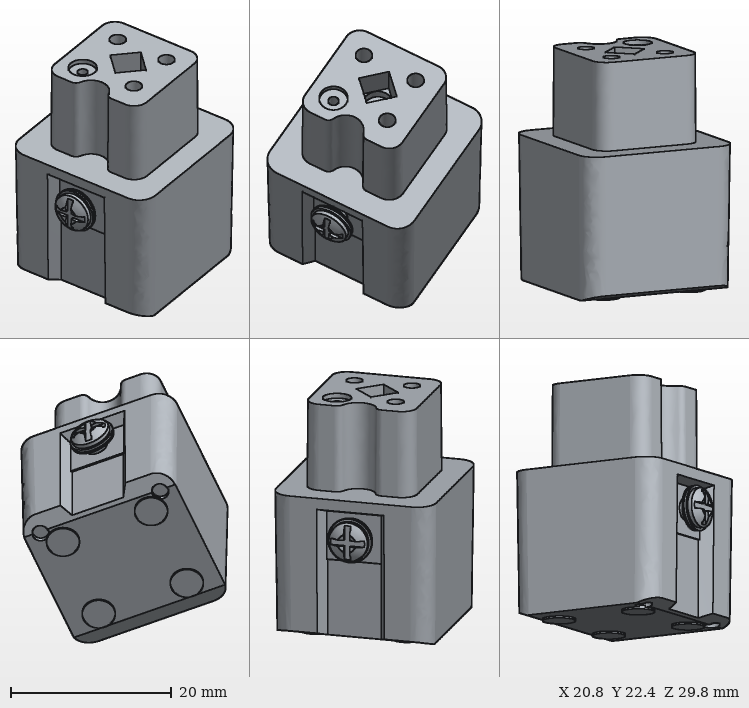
import cadquery as cq
import math

foot_height = 0.25
shoulder_z = 18.62
top_z = 29.8

base_top_width = 20.8
base_bottom_width = 20.38
base_corner_radius = 2.47
bevel_height = 0.77
bevel_flat_half = 8.05

tower_width = 14.2
tower_corner_radius = 2.0
tower_draft = 0.4
groove_radius = 2.2
groove_lip_radius = 1.0
groove_depth = 2.18

contact_x = 3.72
contact_back_y = 3.75
contact_front_y = -3.22
contact_radius = 1.05
core_radius = 0.65
contact_depth = 5.95
core_depth = 7.45
earth_y = -3.72
earth_radius = 1.8
earth_recess_depth = 0.63

diamond_x = 0.2
diamond_y = 0.48
diamond_side = 3.87
diamond_depth = 3.58
diamond_draft = 0.8
diamond_hole_radius = 1.85
diamond_hole_depth = 4.77

recess_floor_y = -8.65
recess_floor_half = 3.45
recess_mouth_half = 4.35
recess_mouth_bottom_half = 4.5
recess_floor_top = 16.55
recess_mouth_top = 17.2
plate_bottom_z = 10.3
plate_thickness = 0.18

screw_z = 13.6
washer_radius = 2.83
washer_face_y = -10.73
washer_thickness = 0.4
spring_washer_radius = 2.77
spring_washer_back_y = -10.07
shank_radius = 1.35
head_radius = 2.5
head_rim_y = -11.3
head_apex_y = -12.22
slot_width = 0.8
slot_floor_y = -11.53
bit_recess_half = 1.65
bit_recess_y = -12.05
bit_recess_floor_y = -11.9

foot_radius = 2.05
foot_x = 5.93
foot_back_y = 5.9
foot_front_y = -5.63
pocket_x = 8.05
pocket_y = -7.75
pocket_radius = 1.05
pocket_depth = 0.6


def rounded_square(width, z):
    outline = cq.Sketch().rect(width, width).vertices().fillet(base_corner_radius)
    return outline.moved(cq.Location((0, 0, z)))


def make_base():
    bottom = rounded_square(base_bottom_width, foot_height)
    top = rounded_square(base_top_width, shoulder_z)
    base = cq.Workplane("XY").placeSketch(bottom, top).loft(ruled=True)
    bevel_run = base_bottom_width / 2 - bevel_flat_half
    wedge_end = bevel_flat_half + 2 * bevel_run
    for side in (-1, 1):
        bevel = (
            cq.Workplane("YZ", origin=(-base_top_width / 2, 0, 0))
            .moveTo(side * bevel_flat_half, foot_height)
            .lineTo(side * wedge_end, foot_height)
            .lineTo(side * wedge_end, foot_height + 2 * bevel_height)
            .close()
            .extrude(base_top_width)
        )
        base = base.cut(bevel)
    return base


def make_tower():
    half = tower_width / 2
    flat = half - tower_corner_radius
    groove_center_y = -half + groove_depth - groove_radius
    lip_center_y = -half + groove_lip_radius
    radii = groove_radius + groove_lip_radius
    lip_x = math.sqrt(radii**2 - (lip_center_y - groove_center_y) ** 2)
    share = groove_radius / radii
    join_x = lip_x * share
    join_y = groove_center_y + (lip_center_y - groove_center_y) * share
    lip_end_angle = math.atan2(join_y - lip_center_y, lip_x - join_x)
    lip_mid_angle = (lip_end_angle - math.pi / 2) / 2
    lip_mid_x = lip_x - groove_lip_radius * math.cos(lip_mid_angle)
    lip_mid_y = lip_center_y + groove_lip_radius * math.sin(lip_mid_angle)
    corner_mid = flat + tower_corner_radius * math.sqrt(0.5)
    return (
        cq.Workplane("XY", origin=(0, 0, shoulder_z))
        .moveTo(lip_x, -half)
        .lineTo(flat, -half)
        .threePointArc((corner_mid, -corner_mid), (half, -flat))
        .lineTo(half, flat)
        .threePointArc((corner_mid, corner_mid), (flat, half))
        .lineTo(-flat, half)
        .threePointArc((-corner_mid, corner_mid), (-half, flat))
        .lineTo(-half, -flat)
        .threePointArc((-corner_mid, -corner_mid), (-flat, -half))
        .lineTo(-lip_x, -half)
        .threePointArc((-lip_mid_x, lip_mid_y), (-join_x, join_y))
        .threePointArc((0, -half + groove_depth), (join_x, join_y))
        .threePointArc((lip_mid_x, lip_mid_y), (lip_x, -half))
        .close()
        .extrude(top_z - shoulder_z, taper=tower_draft)
    )


def hole_from_top(x, y, radius, depth):
    return cq.Workplane("XY", origin=(x, y, top_z)).circle(radius).extrude(-depth)


def stepped_hole(x, y, radius, depth):
    return hole_from_top(x, y, radius, depth).union(hole_from_top(x, y, core_radius, core_depth))


def make_diamond_pocket():
    pocket = (
        cq.Workplane("XY", origin=(diamond_x, diamond_y, top_z))
        .transformed(rotate=(0, 0, 45))
        .rect(diamond_side, diamond_side)
        .extrude(-diamond_depth, taper=diamond_draft)
    )
    return pocket.union(hole_from_top(diamond_x, diamond_y, diamond_hole_radius, diamond_hole_depth))


def make_front_recess():
    mouth_y = -base_top_width / 2
    return (
        cq.Workplane("XZ", origin=(0, recess_floor_y, 0))
        .polyline([
            (-recess_floor_half, 0),
            (recess_floor_half, 0),
            (recess_floor_half, recess_floor_top),
            (-recess_floor_half, recess_floor_top),
        ])
        .close()
        .workplane(offset=recess_floor_y - mouth_y)
        .polyline([
            (-recess_mouth_bottom_half, 0),
            (recess_mouth_bottom_half, 0),
            (recess_mouth_half, recess_mouth_top),
            (-recess_mouth_half, recess_mouth_top),
        ])
        .close()
        .loft(ruled=True)
    )


def make_plate():
    return (
        cq.Workplane("XY", origin=(0, recess_floor_y - plate_thickness, plate_bottom_z))
        .rect(2 * recess_mouth_half, plate_thickness, centered=(True, False))
        .extrude(recess_mouth_top - plate_bottom_z)
    )


def make_screw():
    dome_rise = head_rim_y - head_apex_y
    dome_radius = (head_radius**2 + dome_rise**2) / (2 * dome_rise)
    mid_r = head_radius / 2
    mid_y = head_apex_y + dome_radius - math.sqrt(dome_radius**2 - mid_r**2)
    screw = (
        cq.Workplane("XY", origin=(0, 0, screw_z))
        .moveTo(0, recess_floor_y)
        .lineTo(shank_radius, recess_floor_y)
        .lineTo(shank_radius, spring_washer_back_y)
        .lineTo(spring_washer_radius, spring_washer_back_y)
        .lineTo(spring_washer_radius, washer_face_y + washer_thickness)
        .lineTo(washer_radius, washer_face_y + washer_thickness)
        .lineTo(washer_radius, washer_face_y)
        .lineTo(head_radius, washer_face_y)
        .lineTo(head_radius, head_rim_y)
        .threePointArc((mid_r, mid_y), (0, head_apex_y))
        .close()
        .revolve(360, (0, 0, 0), (0, 1, 0))
    )
    slot_plane = cq.Workplane("XZ", origin=(0, slot_floor_y, screw_z))
    slot_depth = slot_floor_y - head_apex_y
    for width, height in ((2 * head_radius, slot_width), (slot_width, 2 * head_radius)):
        screw = screw.cut(slot_plane.rect(width, height).extrude(slot_depth))
    recess_depth = bit_recess_floor_y - head_apex_y
    slope = (bit_recess_half - slot_width) / (bit_recess_floor_y - bit_recess_y)
    outer_half = slot_width + slope * recess_depth
    bit_recess = (
        cq.Workplane("XZ", origin=(0, bit_recess_floor_y, screw_z))
        .transformed(rotate=(0, 0, 45))
        .rect(slot_width * math.sqrt(2), slot_width * math.sqrt(2))
        .workplane(offset=recess_depth)
        .rect(outer_half * math.sqrt(2), outer_half * math.sqrt(2))
        .loft(ruled=True)
    )
    return screw.cut(bit_recess)


body = make_base().union(make_tower()).cut(make_front_recess().cut(make_plate()))

for x, y in ((-contact_x, contact_back_y), (contact_x, contact_back_y), (contact_x, contact_front_y)):
    body = body.cut(stepped_hole(x, y, contact_radius, contact_depth))
body = body.cut(stepped_hole(-contact_x, earth_y, earth_radius, earth_recess_depth))
body = body.cut(make_diamond_pocket())

for side in (-1, 1):
    pocket = (
        cq.Workplane("XY", origin=(side * pocket_x, pocket_y, foot_height))
        .circle(pocket_radius)
        .extrude(pocket_depth)
    )
    body = body.cut(pocket)

for x in (-foot_x, foot_x):
    for y in (foot_front_y, foot_back_y):
        foot = cq.Workplane("XY", origin=(x, y, 0)).circle(foot_radius).extrude(2 * foot_height)
        body = body.union(foot)

result = body.union(make_screw())